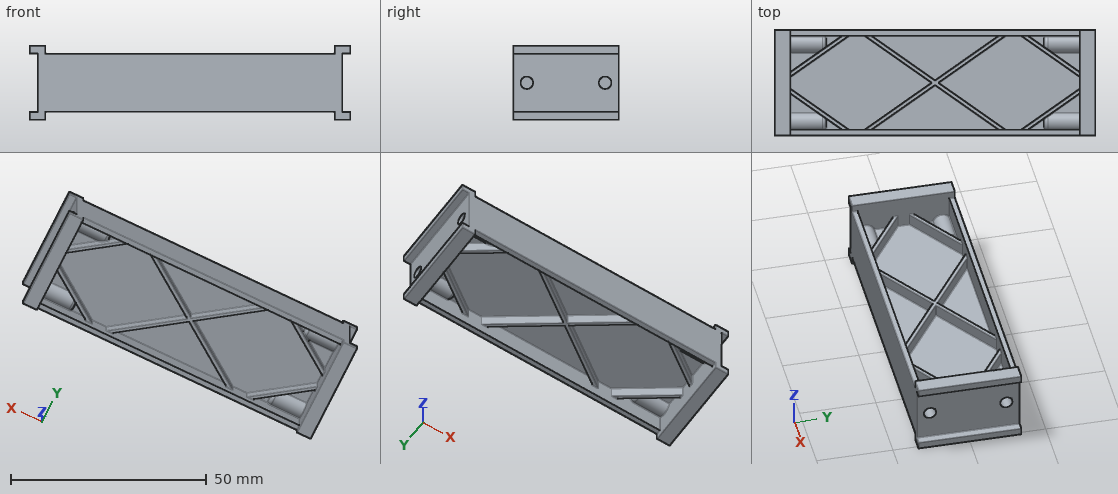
import cadquery as cq
import math

length = 82.0
width = 27.0
height = 19.0

flange_thickness = 2.05
flange_width = 4.0
flange_overhang = 2.05

edge_radius = 0.12
match_tolerance = 0.001

side_wall = 1.5
web_thickness = 1.5
body_length = length - 2 * flange_overhang
body_height = height - 2 * flange_thickness
cavity_length = length - 2 * flange_width
cavity_width = width - 2 * side_wall

rib_width = 1.0
rib_height = 3.3
rib_angle = 35.0
rib_crossing_spacing = 40.0

boss_radius = 2.5
boss_end_fillet = 1.0
boss_tip_inset = 13.2
boss_spacing = 20.0
hole_diameter = 3.2
hole_depth = 8.0


def make_shell():
    """Open tray with a mid-height web and a flanged wall at each end."""
    body = cq.Workplane("XY").box(body_length, width, body_height)
    flange_center = (length - flange_width) / 2
    for end in (-1, 1):
        for face in (-1, 1):
            flange = cq.Workplane("XY").box(flange_width, width, flange_thickness)
            z = face * (height - flange_thickness) / 2
            body = body.union(flange.translate((end * flange_center, 0, z)))
    pocket_depth = (height - web_thickness) / 2
    pocket_center = (height + web_thickness) / 4
    for face in (-1, 1):
        pocket = cq.Workplane("XY").box(cavity_length, cavity_width, pocket_depth)
        body = body.cut(pocket.translate((0, 0, face * pocket_center)))
    return body


def make_ribs():
    """Crossing diagonal ribs, trimmed to the tray cavity."""
    rib_length = 2 * width
    depth = web_thickness + 2 * rib_height
    ribs = cq.Workplane("XY")
    for crossing in (-1, 0, 1):
        for angle in (-rib_angle, rib_angle):
            rib = cq.Workplane("XY").box(rib_length, rib_width, depth)
            rib = rib.rotate((0, 0, 0), (0, 0, 1), angle)
            ribs = ribs.union(rib.translate((crossing * rib_crossing_spacing, 0, 0)))
    trim_length = (cavity_length + body_length) / 2
    trim_width = cavity_width + side_wall
    return ribs.intersect(cq.Workplane("XY").box(trim_length, trim_width, depth))


def make_boss(end, side):
    """Round boss reaching inward from an end wall, rounded at its tip."""
    boss_length = boss_tip_inset - flange_overhang
    boss = cq.Workplane("YZ").circle(boss_radius).extrude(boss_length)
    boss = boss.faces(">X").edges().fillet(boss_end_fillet)
    if end > 0:
        boss = boss.rotate((0, 0, 0), (0, 0, 1), 180)
    trim = cq.Workplane("XY").box(length, width, height)
    boss = boss.translate((end * body_length / 2, side * boss_spacing / 2, 0))
    return boss.intersect(trim)


def make_hole(end, side):
    """Blind screw hole drilled from the outer face of an end wall."""
    hole = cq.Workplane("YZ").circle(hole_diameter / 2).extrude(-end * hole_depth)
    return hole.translate((end * body_length / 2, side * boss_spacing / 2, 0))


def is_rim_inner_edge(edge):
    """True for the edge where a side wall's inner face meets its rim."""
    middle = edge.Center()
    at_inner_face = math.isclose(abs(middle.y), cavity_width / 2, abs_tol=match_tolerance)
    at_rim = math.isclose(abs(middle.z), body_height / 2, abs_tol=match_tolerance)
    return at_inner_face and at_rim


corners = [(end, side) for end in (-1, 1) for side in (-1, 1)]
result = make_shell().union(make_ribs())
for end, side in corners:
    result = result.union(make_boss(end, side))
rounded_edges = [edge for edge in result.edges().vals() if not is_rim_inner_edge(edge)]
result = result.newObject(rounded_edges).fillet(edge_radius)
for end, side in corners:
    result = result.cut(make_hole(end, side))